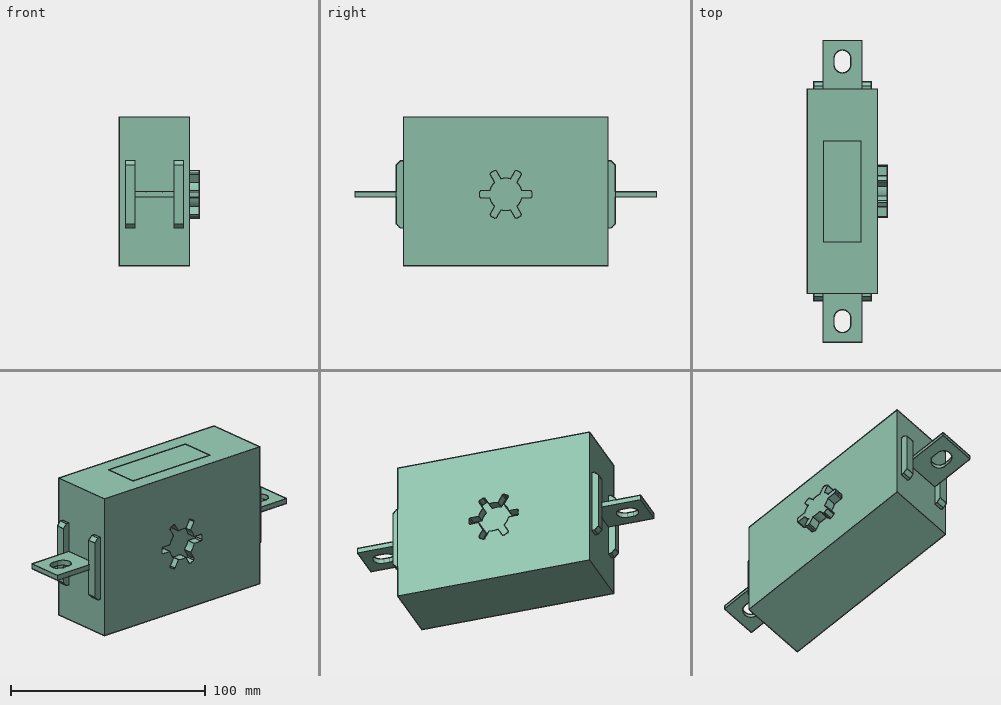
import cadquery as cq

body_width = 36.1
body_length = 105.0
body_height = 76.4

axis_z = -1.5

overall_length = 154.9
terminal_width = 20.1
terminal_thickness = 2.8
slot_length = 11.6
slot_width = 8.5
slot_from_tip = 10.8

rail_thickness = 4.8
rail_height = 34.5
rail_projection = 3.7
rail_chamfer = 2.2
rail_spacing = 24.8

arm_count = 6
hub_radius = 8.4
arm_reach = 13.5
arm_width = 3.7
arm_tip_chamfer = 0.6
key_height = 5.0

panel_width = 19.2
panel_length = 51.9
panel_depth = 0.2

overlap = 1.5


def make_terminals():
    slot_y = overall_length / 2 - slot_from_tip
    strip = cq.Workplane("XY").box(terminal_width, overall_length, terminal_thickness)
    slots = (
        cq.Workplane("XY")
        .pushPoints([(0, slot_y), (0, -slot_y)])
        .slot2D(slot_length, slot_width, 90)
        .extrude(terminal_thickness, both=True)
    )
    return strip.cut(slots).translate((0, 0, axis_z))


def make_rail(x, end):
    """Rail at the given X on the +Y (end = 1) or -Y (end = -1) face."""
    depth = rail_projection + overlap
    outer_face = ">Y" if end > 0 else "<Y"
    rail = (
        cq.Workplane("XY")
        .box(rail_thickness, depth, rail_height)
        .faces(outer_face)
        .edges("|X")
        .chamfer(rail_chamfer)
    )
    y = end * (body_length / 2 + rail_projection - depth / 2)
    return rail.translate((x, y, axis_z))


def make_key(x_start, length):
    """Round hub with radial arms, running from x_start in the +X direction."""
    key = cq.Workplane("YZ").circle(hub_radius).extrude(length)
    arm = (
        cq.Workplane("YZ")
        .center(arm_reach / 2, 0)
        .rect(arm_reach, arm_width)
        .extrude(length)
        .edges("|X and >Y")
        .chamfer(arm_tip_chamfer)
    )
    for i in range(arm_count):
        key = key.union(arm.rotate((0, 0, 0), (1, 0, 0), i * 360 / arm_count))
    return key.translate((x_start, 0, axis_z))


def make_panel_recess():
    recess = cq.Workplane("XY").box(panel_width, panel_length, panel_depth)
    return recess.translate((0, 0, (body_height - panel_depth) / 2))


result = cq.Workplane("XY").box(body_width, body_length, body_height)
result = result.union(make_terminals())

for end in (1, -1):
    for side in (1, -1):
        result = result.union(make_rail(side * rail_spacing / 2, end))

result = result.union(make_key(body_width / 2 - overlap, key_height + overlap))
result = result.cut(make_key(-body_width / 2, key_height))
result = result.cut(make_panel_recess())